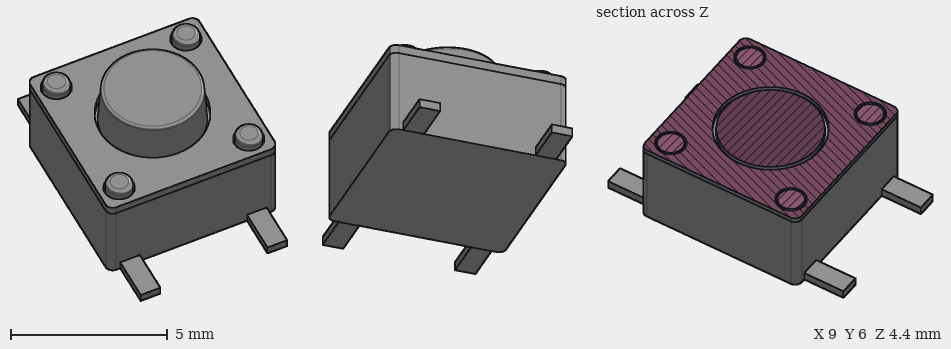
import cadquery as cq
import math

body_side = 6.0
lead_span = 9.0
overall_height = 4.4
corner_radius = 0.25

cover_thickness = 0.3
cover_top = 3.15
housing_height = cover_top - cover_thickness

post_diameter = 0.89
post_hole_diameter = 1.0
post_spacing = 4.6
post_projection = 0.3
post_fillet = 0.15
post_length = cover_thickness + post_projection

button_base_diameter = 3.5
button_hole_diameter = 3.7
button_draft_angle = 3.5
button_fillet = 0.1
button_height = overall_height - housing_height
button_base_radius = button_base_diameter / 2
button_top_radius = button_base_radius - button_height * math.tan(math.radians(button_draft_angle))

lead_width = 0.7
lead_thickness = 0.3
lead_spacing = 4.5
lead_length = (lead_span - body_side) / 2


def rounded_block(bottom, height):
    """Square block with rounded vertical corners, centred on the Z axis."""
    block = cq.Workplane("XY").workplane(offset=bottom).rect(body_side, body_side).extrude(height)
    return block.edges("|Z").fillet(corner_radius)


def at_post_centres(bottom):
    """Workplane with one point at each of the four post positions."""
    plane = cq.Workplane("XY").workplane(offset=bottom)
    return plane.rarray(post_spacing, post_spacing, 2, 2)


def make_housing():
    posts = at_post_centres(housing_height).circle(post_diameter / 2).extrude(post_length)
    posts = posts.faces(">Z").edges().fillet(post_fillet)
    return rounded_block(0, housing_height).union(posts)


def make_cover():
    plate = rounded_block(housing_height, cover_thickness)
    post_holes = at_post_centres(housing_height).circle(post_hole_diameter / 2).extrude(cover_thickness)
    button_hole = (
        cq.Workplane("XY")
        .workplane(offset=housing_height)
        .circle(button_hole_diameter / 2)
        .extrude(cover_thickness)
    )
    return plate.cut(post_holes).cut(button_hole)


def make_button():
    half_profile = [
        (0, housing_height),
        (button_base_radius, housing_height),
        (button_top_radius, overall_height),
        (0, overall_height),
    ]
    plunger = cq.Workplane("XZ").polyline(half_profile).close().revolve(360, (0, 0), (0, 1))
    return plunger.faces(">Z").edges().fillet(button_fillet)


def make_lead(x_side, y_side):
    """One lead; x_side and y_side are -1 or +1 and pick its corner of the housing."""
    centre_x = x_side * (body_side + lead_length) / 2
    centre_y = y_side * lead_spacing / 2
    strip = cq.Workplane("XY").box(lead_length, lead_width, lead_thickness, centered=(True, True, False))
    return strip.translate((centre_x, centre_y, 0))


housing = make_housing()
cover = make_cover()
button = make_button()
leads = [make_lead(x_side, y_side) for x_side in (-1, 1) for y_side in (-1, 1)]

result = cq.Compound.makeCompound(
    [housing.val(), cover.val(), button.val(), *[lead.val() for lead in leads]]
)